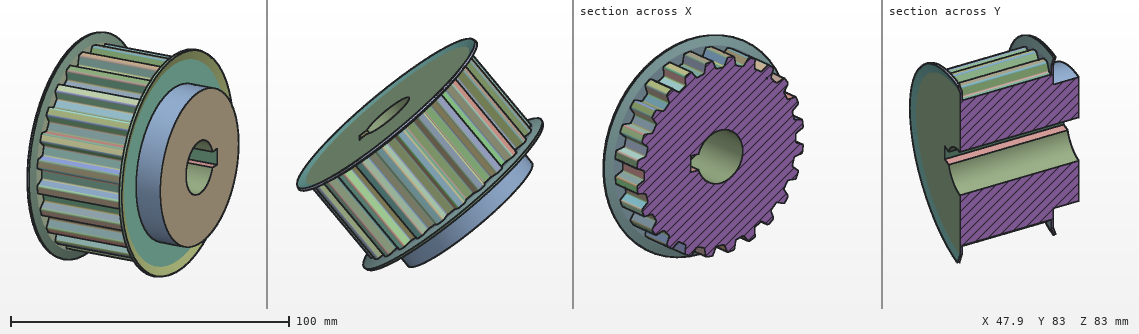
import cadquery as cq
import math


tooth_count = 24
tooth_diameter = 74.8
tooth_radius = tooth_diameter / 2
groove_depth = 3.45
groove_top_width = 6.55
groove_half_angle = 25.0
groove_root_fillet = 0.65
tooth_tip_fillet = 0.8
toothed_width = 35.0
cutter_clearance = 1.0
tip_edge_tolerance = 0.01

flange_diameter = 83.0
flange_thickness = 1.0
flange_depth = 1.97
flange_bend_angle = 16.0
rim_axial = flange_thickness * math.cos(math.radians(flange_bend_angle))
rim_radial = flange_thickness * math.sin(math.radians(flange_bend_angle))

hub_diameter = 58.0
hub_length = 9.0
bore_diameter = 20.0
key_width = 6.0
keyway_reach = 13.0

tooth_start = flange_depth
tooth_end = tooth_start + toothed_width
flange_end = tooth_end + flange_depth
total_length = flange_end + hub_length


def cylinder(radius, start, end):
    """Solid cylinder on the X axis from start to end."""
    return cq.Workplane("YZ", origin=(start, 0, 0)).circle(radius).extrude(end - start)


def groove():
    """Rounded trapezoidal groove centred on +Z, used as a cutter."""
    root_radius = tooth_radius - groove_depth
    flank_slope = math.tan(math.radians(groove_half_angle))
    top_half = groove_top_width / 2
    top_height = math.sqrt(tooth_radius**2 - top_half**2)
    root_half = top_half - (top_height - root_radius) * flank_slope
    outer_half = top_half + cutter_clearance * flank_slope
    return (
        cq.Workplane("YZ", origin=(tooth_start, 0, 0))
        .moveTo(-root_half, root_radius)
        .lineTo(root_half, root_radius)
        .lineTo(outer_half, top_height + cutter_clearance)
        .lineTo(-outer_half, top_height + cutter_clearance)
        .close()
        .extrude(toothed_width)
        .edges("|X and <Z")
        .fillet(groove_root_fillet)
    )


def is_tip_edge(edge):
    """True for a lengthwise edge lying on the outer diameter of the teeth."""
    center = edge.Center()
    return math.hypot(center.y, center.z) > tooth_radius - tip_edge_tolerance


def toothed_rim():
    """Cylinder with evenly spaced grooves and rounded tooth tips."""
    rim = cylinder(tooth_radius, tooth_start, tooth_end)
    cutter = groove()
    for index in range(tooth_count):
        angle = index * 360.0 / tooth_count
        rim = rim.cut(cutter.rotate((0, 0, 0), (1, 0, 0), angle))
    tip_edges = [edge for edge in rim.edges("|X").vals() if is_tip_edge(edge)]
    return rim.newObject(tip_edges).fillet(tooth_tip_fillet)


def flange():
    """Flange at the -X end, its rim bent toward -X."""
    outer_radius = flange_diameter / 2
    bend_slope = math.tan(math.radians(flange_bend_angle))
    dish_depth = flange_depth - flange_thickness
    rim_outer_radius = outer_radius - rim_radial
    outer_bend_radius = rim_outer_radius - dish_depth / bend_slope
    inner_bend_radius = outer_radius - (flange_depth - rim_axial) / bend_slope
    return (
        cq.Workplane("XY")
        .moveTo(dish_depth, 0)
        .lineTo(dish_depth, outer_bend_radius)
        .lineTo(0, rim_outer_radius)
        .lineTo(rim_axial, outer_radius)
        .lineTo(flange_depth, inner_bend_radius)
        .lineTo(flange_depth, 0)
        .close()
        .revolve(360, (0, 0, 0), (1, 0, 0))
    )


def bore_with_keyway():
    """Through bore with its keyway on the +Y side."""
    bore = cylinder(bore_diameter / 2, 0, total_length)
    keyway = cq.Workplane("XY").box(total_length, keyway_reach, key_width, centered=(False, False, True))
    return bore.union(keyway)


near_flange = flange()
far_flange = near_flange.mirror("YZ").translate((flange_end, 0, 0))
hub = cylinder(hub_diameter / 2, tooth_end, total_length)

result = toothed_rim().union(near_flange).union(far_flange).union(hub).cut(bore_with_keyway())